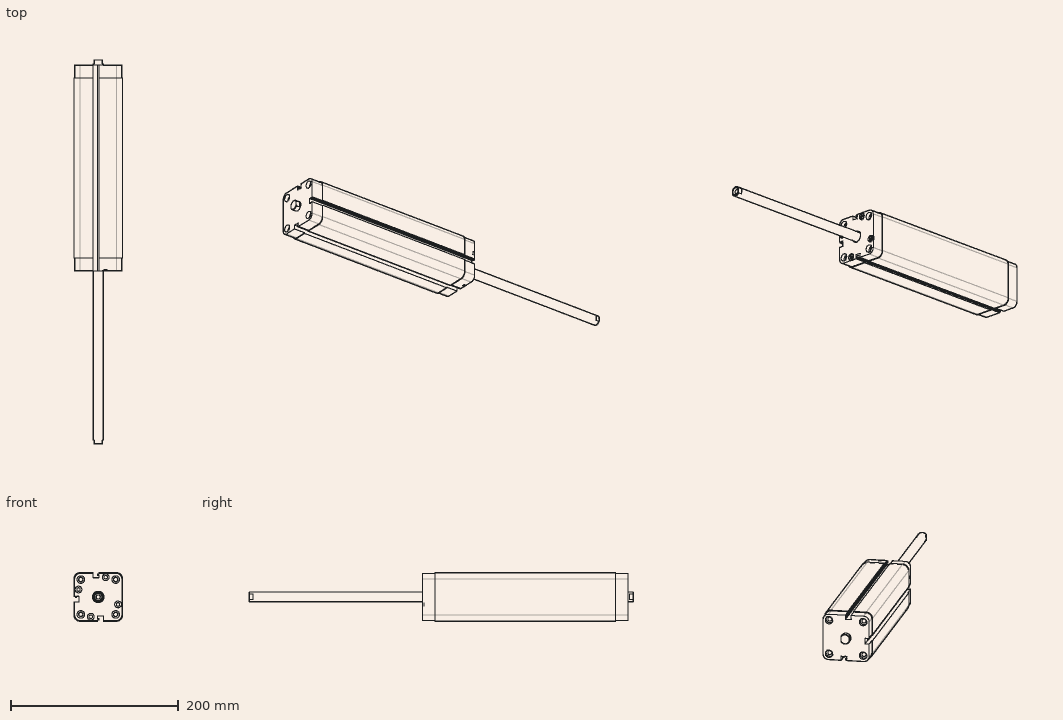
import cadquery as cq
import math

total_length = 458.5
rear_stub_length = 6.2
cap_length = 15.2
barrel_length = 215.3

barrel_width = 58.1
barrel_corner_radius = 7.5
cap_width = 56.3
cap_corner_radius = cap_width / 2 - (barrel_width / 2 - barrel_corner_radius)

slot_left = -6.0
slot_right = 0.7
slot_floor = 23.0
lip_nose = -0.7
lip_top = 27.4
lip_bottom = 25.8
slot_overshoot = 1.0
slot_angles = (0, 90, 180)

rod_diameter = 12.0
rod_clearance_diameter = 13.6
rod_clearance_depth = 2.0
flat_width = 10.0
flat_length = 4.8
rod_chamfer = 0.5
rod_thread_diameter = 4.92
rod_thread_depth = 20.0
thread_mouth_diameter = 8.57
drill_point_angle = 118.0

mount_offset = 20.8
mount_hole_diameter = 4.92
mount_bore_diameter = 9.0
mount_bore_depth = 5.0

screw_along = 8.9
screw_out = 23.6
screw_recess_diameter = 8.0
screw_recess_depth = 2.0
screw_socket_width = 4.0
screw_socket_depth = 2.0

rear_end_y = total_length / 2
front_end_y = -total_length / 2
rear_face_y = rear_end_y - rear_stub_length
barrel_rear_y = rear_face_y - cap_length
barrel_front_y = barrel_rear_y - barrel_length
front_face_y = barrel_front_y - cap_length


def section_plane(y):
    """Plane across the axis at y: local x is +X, local y is +Z, extrusions run to -Y."""
    return cq.Workplane("XZ", origin=(0, y, 0))


def rounded_bar(width, corner_radius, y_start, y_end):
    bar = section_plane(y_end).rect(width, width).extrude(y_end - y_start)
    return bar.edges("|Y").fillet(corner_radius)


def cylinder(diameter, y_start, y_end, x=0, z=0):
    return section_plane(y_end).center(x, z).circle(diameter / 2).extrude(y_end - y_start)


def turned(x, z, angle):
    """Point (x, z) turned about the Y axis, counter-clockwise as seen from -Y."""
    c = math.cos(math.radians(angle))
    s = math.sin(math.radians(angle))
    return x * c - z * s, x * s + z * c


def housing():
    body = rounded_bar(barrel_width, barrel_corner_radius, barrel_front_y, barrel_rear_y)
    caps = rounded_bar(cap_width, cap_corner_radius, front_face_y, rear_face_y)
    return body.union(caps)


def sensor_slot(angle):
    """Full-length slot with a retaining lip on one side, turned onto one face."""
    top = barrel_width / 2 + slot_overshoot
    slot = (
        section_plane(rear_face_y)
        .moveTo(slot_left, top)
        .lineTo(slot_left, slot_floor)
        .lineTo(slot_right, slot_floor)
        .lineTo(slot_right, lip_bottom)
        .lineTo(lip_nose, lip_bottom)
        .lineTo(lip_nose, lip_top)
        .lineTo(slot_right, lip_top)
        .lineTo(slot_right, top)
        .close()
        .extrude(rear_face_y - front_face_y)
    )
    return slot.rotate((0, 0, 0), (0, 1, 0), -angle)


def mount_hole(x, z):
    through = cylinder(mount_hole_diameter, front_face_y, rear_face_y, x, z)
    front_bore = cylinder(mount_bore_diameter, front_face_y, front_face_y + mount_bore_depth, x, z)
    rear_bore = cylinder(mount_bore_diameter, rear_face_y - mount_bore_depth, rear_face_y, x, z)
    return through.union(front_bore).union(rear_bore)


def screw_recess(angle):
    x, z = turned(screw_along, screw_out, angle)
    floor_y = front_face_y + screw_recess_depth
    recess = cylinder(screw_recess_diameter, front_face_y, floor_y, x, z)
    socket = (
        section_plane(floor_y + screw_socket_depth)
        .center(x, z)
        .polygon(6, screw_socket_width, circumscribed=True)
        .extrude(screw_socket_depth)
    )
    return recess.union(socket)


def piston_rod():
    rod = cylinder(rod_diameter, front_end_y, rear_end_y).faces("<Y or >Y").chamfer(rod_chamfer)
    flat_depth = rod_diameter - flat_width
    for side in (-1, 1):
        for y in (front_end_y + flat_length / 2, rear_end_y - flat_length / 2):
            cutter = cq.Workplane("XY").box(flat_depth, flat_length, rod_diameter)
            rod = rod.cut(cutter.translate((side * (flat_width + flat_depth) / 2, y, 0)))
    return rod.cut(rod_thread())


def rod_thread():
    """Countersunk blind hole in the front rod end with a drill-point floor."""
    mouth_radius = thread_mouth_diameter / 2
    hole_radius = rod_thread_diameter / 2
    floor_y = front_end_y + rod_thread_depth
    return (
        cq.Workplane("XY")
        .moveTo(0, front_end_y)
        .lineTo(mouth_radius, front_end_y)
        .lineTo(hole_radius, front_end_y + mouth_radius - hole_radius)
        .lineTo(hole_radius, floor_y)
        .lineTo(0, floor_y + hole_radius * math.tan(math.radians(90 - drill_point_angle / 2)))
        .close()
        .revolve(360, (0, 0, 0), (0, 1, 0))
    )


result = housing()
for slot_angle in slot_angles:
    result = result.cut(sensor_slot(slot_angle))
for corner_angle in range(0, 360, 90):
    result = result.cut(mount_hole(*turned(mount_offset, mount_offset, corner_angle)))
    result = result.cut(screw_recess(corner_angle))
result = result.cut(cylinder(rod_clearance_diameter, front_face_y, front_face_y + rod_clearance_depth))
result = result.union(piston_rod())